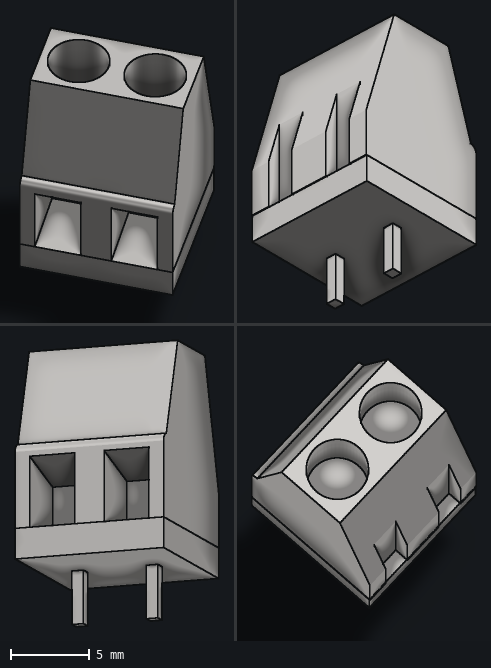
import cadquery as cq

width = 10.15
pitch = width / 2
pole_positions = [-pitch / 2, pitch / 2]
total_height = 17.6

pin_length = 3.5
pin_side = 0.8
base_height = 2.0
base_back_setback = 0.05
base_bottom = pin_length
base_top = base_bottom + base_height

depth = 10.2
front = -depth / 2
back = depth / 2
top_flat_half = 2.52
back_slope_start = 8.98
front_slope_end_y = -4.61
front_slope_end_z = 11.09
nose_start_z = 10.5

bore_diameter = 4.0
bore_depth = 4.4

entry_width = 3.06
entry_front_top = 10.15
entry_back_top = 8.98
entry_back_y = -0.88
entry_floor_rise = 0.4

slot_width = 2.08
slot_depth = 1.0


def extrude_along_x(profile, center_x, length):
    """Extrude a closed YZ profile symmetrically about center_x."""
    return profile.extrude(length / 2, both=True).translate((center_x, 0, 0))


def make_shell():
    """Tapered housing block with a rounded nose along the front edge."""
    profile = (
        cq.Workplane("YZ")
        .moveTo(back, base_top)
        .lineTo(back, back_slope_start)
        .lineTo(top_flat_half, total_height)
        .lineTo(-top_flat_half, total_height)
        .lineTo(front_slope_end_y, front_slope_end_z)
    )
    nose_run = front_slope_end_y - front
    nose_rise = front_slope_end_z - nose_start_z
    nose_radius = (nose_run**2 + nose_rise**2) / (2 * nose_run)
    nose_center_y = front + nose_radius
    half_chord_y = (front_slope_end_y + front) / 2 - nose_center_y
    half_chord_z = nose_rise / 2
    reach = nose_radius / (half_chord_y**2 + half_chord_z**2) ** 0.5
    nose_middle = (nose_center_y + half_chord_y * reach, nose_start_z + half_chord_z * reach)
    profile = profile.threePointArc(nose_middle, (front, nose_start_z)).lineTo(front, base_top).close()
    return extrude_along_x(profile, 0, width)


def make_bore(center_x):
    """Blind screwdriver bore from the top face."""
    return (
        cq.Workplane("XY", origin=(center_x, 0, total_height - bore_depth))
        .circle(bore_diameter / 2)
        .extrude(bore_depth)
    )


def make_wire_entry(center_x):
    """Wire entry tapering inwards, with a falling ceiling and a gently rising floor."""
    profile = (
        cq.Workplane("YZ")
        .moveTo(front, base_top)
        .lineTo(front, entry_front_top)
        .lineTo(entry_back_y, entry_back_top)
        .lineTo(entry_back_y, base_top + entry_floor_rise)
        .close()
    )
    return extrude_along_x(profile, center_x, entry_width)


def make_back_slot(center_x):
    """Vertical slot in the back face, open through the back slope down to the base."""
    return (
        cq.Workplane("XY", origin=(center_x, back - slot_depth / 2, base_top))
        .rect(slot_width, slot_depth)
        .extrude(total_height - base_top)
    )


def make_housing():
    housing = make_shell()
    for center_x in pole_positions:
        housing = housing.cut(make_bore(center_x))
        housing = housing.cut(make_wire_entry(center_x))
        housing = housing.cut(make_back_slot(center_x))
    return housing


def make_base():
    """Base plate carrying one square solder pin under each pole."""
    base_depth = depth - base_back_setback
    base = (
        cq.Workplane("XY", origin=(0, front + base_depth / 2, base_bottom))
        .rect(width, base_depth)
        .extrude(base_height)
    )
    for center_x in pole_positions:
        pin = cq.Workplane("XY", origin=(center_x, 0, 0)).rect(pin_side, pin_side).extrude(pin_length)
        base = base.union(pin)
    return base


housing = make_housing()
base = make_base()
result = cq.Compound.makeCompound([housing.val(), base.val()])